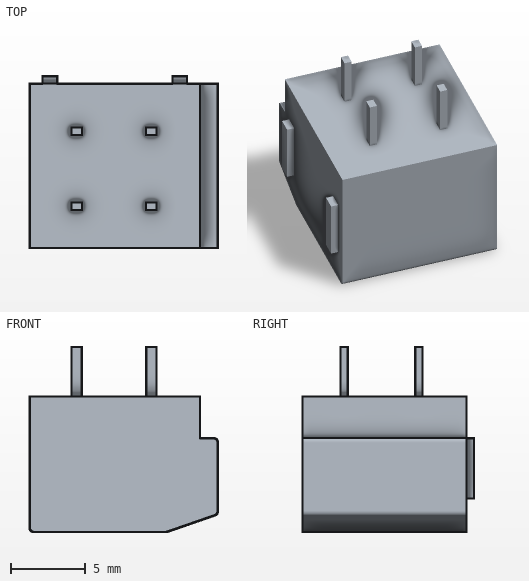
import cadquery as cq

length = 12.6
total_depth = 11.5
total_height = 12.4
body_height = 9.1
tab_thickness = 0.5
body_depth = total_depth - tab_thickness

shelf_length = 1.2
shelf_height = 6.3
slope_length = 3.45
slope_rise = 1.2
edge_radius = 0.3

pin_size_x = 0.7
pin_size_y = 0.5
pin_pitch = 5.0
first_pin_x = 3.15
first_pin_y = 2.8
pin_height = total_height - body_height

tab_width = 1.0
tab_height = 4.05
tab_left_edges = (0.86, 9.55)


def make_housing():
    """Extrude the stepped side profile along Y and round its outer edges."""
    profile = [
        (0, 0),
        (length - slope_length, 0),
        (length, slope_rise),
        (length, shelf_height),
        (length - shelf_length, shelf_height),
        (length - shelf_length, body_height),
        (0, body_height),
    ]
    housing = cq.Workplane("XZ").polyline(profile).close().extrude(-body_depth)
    housing = housing.faces(">X").edges("|Y").fillet(edge_radius)
    return housing.faces("<X").edges("<Z").fillet(edge_radius)


def make_pins():
    """Square grid of four rectangular pins standing on the housing."""
    center_x = first_pin_x + pin_pitch / 2
    center_y = first_pin_y + pin_pitch / 2
    return (
        cq.Workplane("XY", origin=(center_x, center_y, body_height))
        .rarray(pin_pitch, pin_pitch, 2, 2)
        .rect(pin_size_x, pin_size_y)
        .extrude(pin_height)
    )


def make_tab(left_edge):
    """Rectangular tab projecting from the back face."""
    corner = (left_edge, body_depth, shelf_height - tab_height)
    tab = cq.Workplane("XY").box(tab_width, tab_thickness, tab_height, centered=False)
    return tab.translate(corner)


result = make_housing().union(make_pins())
for tab_left_edge in tab_left_edges:
    result = result.union(make_tab(tab_left_edge))